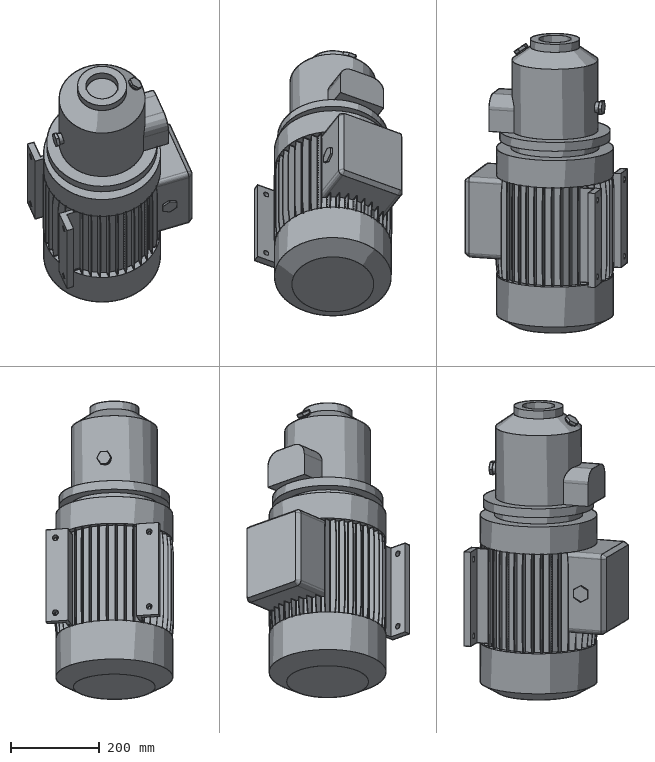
import cadquery as cq
import math

TAIL_Z = 23.0
FIN_BOTTOM_Z = 116.0
FIN_TOP_Z = 346.0
DRUM_TOP_Z = 409.0
FLANGE_BOTTOM_Z = 429.0
JOINT_Z = 449.5
SHOULDER_Z = 613.0
COLLAR_Z = 642.5
TOP_Z = 661.0

DRUM_R = 132.0
TAIL_R = 92.5
SPIGOT_R = 100.0
FLANGE_R = 125.0

CORE_R = 117.5
FINS_PER_SIDE = 10
FIN_W = 2.0
FIN_ROOT_L = 4.0
FIN_PITCH_R = 129.0
FIN_R = 134.0
FIN_END_R = 131.0
FIN_RELIEF_L = 33.0

FOOT_INNER_X = 78.5
FOOT_OUTER_X = 130.0
FOOT_T = 16.0
FOOT_WEB_T = 8.5
FOOT_BASE_Y = -DRUM_R
FOOT_WEB_TOP_Y = -78.0
FOOT_H = 218.0
FOOT_HOLE_D = 12.5
FOOT_HOLE_X = 108.5
FOOT_HOLE_PITCH = 178.0
FIN_MID_Z = (FIN_BOTTOM_Z + FIN_TOP_Z) / 2

BOX_W = 162.5
BOX_H = 186.5
BOX_BACK_Y = 190.0
BOX_ROOT_Y = 79.0
BOX_EDGE_R = 10.5
BOX_BEVEL_DEPTH = 10.5
BOX_BEVEL_INSET = 7.0
BOX_MID_Z = FIN_TOP_Z - BOX_H / 2
GLAND_FLATS = 33.0
GLAND_L = 4.5
GLAND_Y = 132.0

HEAD_R = 97.0
COLLAR_R = 55.5
BORE_R = 36.5
BORE_DEPTH = 20.0

PORT_W = 2 * COLLAR_R
PORT_H = 81.0
PORT_Y = 139.5
PORT_EDGE_R = 30.5

PLUG_FLATS = 28.5
PLUG_HEAD_T = 7.0
PLUG_STEM_R = 12.5
DRAIN_PLUG_Z = 509.0
DRAIN_STEM_L = 9.0
FILL_STEM_L = 2.5


def hexagon_diameter(flats):
    """Diameter across corners of a hexagon with the given distance across flats."""
    return flats / math.cos(math.pi / 6)


def motor_shell():
    outline = [
        (0, 0),
        (TAIL_R, 0),
        (DRUM_R, TAIL_Z),
        (DRUM_R, FIN_BOTTOM_Z),
        (CORE_R, FIN_BOTTOM_Z),
        (CORE_R, FIN_TOP_Z),
        (DRUM_R, FIN_TOP_Z),
        (DRUM_R, DRUM_TOP_Z),
        (SPIGOT_R, DRUM_TOP_Z),
        (SPIGOT_R, FLANGE_BOTTOM_Z),
        (FLANGE_R, FLANGE_BOTTOM_Z),
        (FLANGE_R, JOINT_Z),
        (0, JOINT_Z),
    ]
    return cq.Workplane("XZ").polyline(outline).close().revolve(360, (0, 0), (0, 1))


def fin_plate(angle):
    """Plate facing +X, set off in Y by its angle and relieved at both ends."""
    offset = FIN_PITCH_R * math.sin(angle)
    root = math.sqrt(CORE_R**2 - offset**2) - FIN_ROOT_L
    end_reach = FIN_END_R * math.cos(angle)
    mid_reach = FIN_R * math.cos(angle)
    outline = [
        (root, FIN_BOTTOM_Z),
        (end_reach, FIN_BOTTOM_Z),
        (mid_reach, FIN_BOTTOM_Z + FIN_RELIEF_L),
        (mid_reach, FIN_TOP_Z - FIN_RELIEF_L),
        (end_reach, FIN_TOP_Z),
        (root, FIN_TOP_Z),
    ]
    return (
        cq.Workplane("XZ", origin=(0, offset, 0))
        .polyline(outline)
        .close()
        .extrude(FIN_W / 2, both=True)
    )


def cooling_fins():
    """Parallel plates on each of the four sides, cut off level with the foot bases."""
    sides = 4
    fin_pitch = 2 * math.pi / (sides * FINS_PER_SIDE)
    plates = cq.Workplane("XY")
    for side in range(sides):
        for i in range(FINS_PER_SIDE):
            plate = fin_plate((i - (FINS_PER_SIDE - 1) / 2) * fin_pitch)
            plates.add(plate.rotate((0, 0, 0), (0, 0, 1), side * 360 / sides))
    below_feet = (
        cq.Workplane("XY")
        .box(2 * FIN_R, FIN_R, FIN_TOP_Z, centered=(True, False, False))
        .translate((0, FOOT_BASE_Y - FIN_R, 0))
    )
    return plates.combine().cut(below_feet)


def foot():
    """Angle bracket on the +X side: a web down from the core and a drilled base plate."""
    web_outer_x = FOOT_INNER_X + FOOT_WEB_T
    base_top_y = FOOT_BASE_Y + FOOT_T
    outline = [
        (FOOT_INNER_X, FOOT_BASE_Y),
        (FOOT_OUTER_X, FOOT_BASE_Y),
        (FOOT_OUTER_X, base_top_y),
        (web_outer_x, base_top_y),
        (web_outer_x, FOOT_WEB_TOP_Y),
        (FOOT_INNER_X, FOOT_WEB_TOP_Y),
    ]
    bracket = (
        cq.Workplane("XY")
        .workplane(offset=FIN_MID_Z - FOOT_H / 2)
        .polyline(outline)
        .close()
        .extrude(FOOT_H)
    )
    holes = (
        cq.Workplane("XZ", origin=(FOOT_HOLE_X, base_top_y, FIN_MID_Z))
        .rarray(6.5, FOOT_HOLE_PITCH, 1, 2)
        .circle(FOOT_HOLE_D / 2)
        .extrude(FOOT_T)
    )
    return bracket.cut(holes)


def terminal_box():
    """Box with rounded edges along Y and a bevel round its cover on the +Y side."""
    bevel_y = BOX_BACK_Y - BOX_BEVEL_DEPTH
    bevel_angle = math.degrees(math.atan2(BOX_BEVEL_INSET, BOX_BEVEL_DEPTH))
    walls = (
        cq.Workplane("XZ", origin=(0, bevel_y, BOX_MID_Z))
        .rect(BOX_W, BOX_H)
        .extrude(bevel_y - BOX_ROOT_Y)
        .edges("|Y")
        .fillet(BOX_EDGE_R)
    )
    return walls.faces(">Y").wires().toPending().workplane().extrude(BOX_BEVEL_DEPTH, taper=bevel_angle)


def cable_gland():
    """Hexagon on the +X side of the terminal box, one corner pointing up."""
    return (
        cq.Workplane("YZ", origin=(BOX_W / 2, GLAND_Y, BOX_MID_Z))
        .transformed(rotate=(0, 0, 90))
        .polygon(6, hexagon_diameter(GLAND_FLATS))
        .extrude(GLAND_L)
    )


def make_motor():
    body = motor_shell().union(cooling_fins())
    right_foot = foot()
    left_foot = right_foot.mirror("YZ")
    return body.union(right_foot).union(left_foot).union(terminal_box()).union(cable_gland())


def head_shell():
    outline = [
        (0, JOINT_Z),
        (HEAD_R, JOINT_Z),
        (HEAD_R, SHOULDER_Z),
        (COLLAR_R, COLLAR_Z),
        (COLLAR_R, TOP_Z),
        (BORE_R, TOP_Z),
        (BORE_R, TOP_Z - BORE_DEPTH),
        (0, TOP_Z - BORE_DEPTH),
    ]
    return cq.Workplane("XZ").polyline(outline).close().revolve(360, (0, 0), (0, 1))


def port():
    """Block on the +Y side with its two upper edges rounded."""
    return (
        cq.Workplane("XY")
        .box(PORT_W, PORT_Y, PORT_H, centered=(True, False, False))
        .edges("|Y and >Z")
        .fillet(PORT_EDGE_R)
        .translate((0, 0, JOINT_Z))
    )


def plug(seat, direction, stem_length):
    """Hexagon-head plug standing on a surface point, with its stem sunk into the wall."""
    plane = cq.Plane(origin=seat, xDir=(1, 0, 0), normal=direction)
    stem = (
        cq.Workplane(plane)
        .workplane(offset=-PLUG_STEM_R)
        .circle(PLUG_STEM_R)
        .extrude(PLUG_STEM_R + stem_length)
    )
    head = (
        cq.Workplane(plane)
        .workplane(offset=stem_length)
        .polygon(6, hexagon_diameter(PLUG_FLATS))
        .extrude(PLUG_HEAD_T)
    )
    return stem.union(head)


def make_head():
    drain_plug = plug((0, -HEAD_R, DRAIN_PLUG_Z), (0, -1, 0), DRAIN_STEM_L)

    cone_run = HEAD_R - COLLAR_R
    cone_rise = COLLAR_Z - SHOULDER_Z
    cone_middle = (0, (HEAD_R + COLLAR_R) / 2, (SHOULDER_Z + COLLAR_Z) / 2)
    filler_plug = plug(cone_middle, (0, cone_rise, cone_run), FILL_STEM_L)

    return head_shell().union(port()).union(drain_plug).union(filler_plug)


motor = make_motor()
head = make_head()

result = cq.Compound.makeCompound([motor.val(), head.val()])